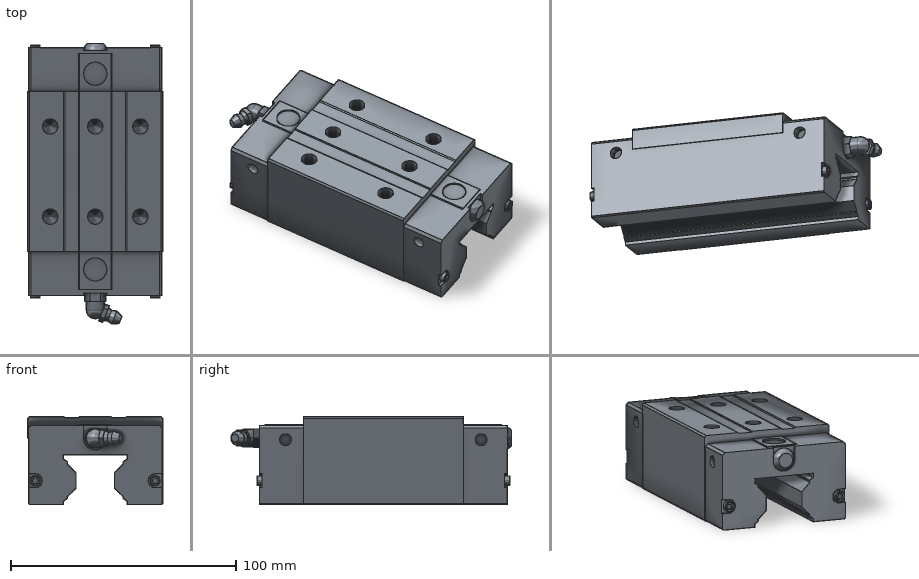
import cadquery as cq
import math


block_width = 60.0
block_height = 39.0
block_length = 71.0
carriage_length = 110.0
plate_thickness = 2.6
end_width = 59.2
end_height = 35.2

block_top_chamfer = 0.8
end_top_chamfer = 1.15
bottom_chamfer = 0.6
side_relief = (block_width - end_width) / 2
side_relief_height = 29.6

groove_outer_half = 14.0
groove_floor_half = 13.4
groove_depth = 0.4
band_half = 7.0
band_foot_half = 7.4
band_rise = 0.35

channel_half = 14.1
notch_half = 12.3
ledge_half = 12.5
throat_half = 8.5
channel_top = 22.1
roof_slope_z = 20.2
upper_notch_top_z = 19.0
upper_ledge_z = 18.2
throat_top_z = 14.1
throat_bottom_z = 7.2
lower_ledge_z = 3.4
lower_notch_bottom_z = 2.8
floor_slope_z = 1.4

mount_diameter = 6.8
mount_depth = 12.0
mount_pitch_x = 20.0
mount_pitch_y = 40.0
drill_point_angle = 118.0

port_y = 43.4
top_port_diameter = 10.3
top_port_depth = 0.7
side_port_diameter = 5.2
side_port_depth = 5.0
side_port_z = 28.8

screw_x = 26.6
screw_z = 10.6
screw_head_diameter = 4.4
screw_head_chamfer = 0.2
screw_head_rise = 1.1
socket_flats = 2.4
socket_depth = 1.2
screw_seat_radius = 3.1
seat_depth = 1.2

fitting_z = 29.5
fitting_seat_radius = 5.2

button_radius = 5.05
button_flat_radius = 3.3
button_rise = 1.9

elbow_hex_flats = 8.2
elbow_hex_rise = 2.65
elbow_hex_chamfer = 0.3
elbow_radius = 4.0
elbow_centre_rise = 6.3
nipple_angle = 22.0
collar_flats = 7.0
collar_start = 3.2
collar_end = 5.2
neck_end = 6.8
bulge_end = 9.05
tip_end = 12.1
neck_root_radius = 3.2
neck_radius = 2.5
bulge_radius = 3.15
tip_radius = 1.75

half_carriage = carriage_length / 2
half_caps = half_carriage - plate_thickness
seat_floor = half_carriage - seat_depth


def extrude_along_y(outline, y_min, y_max):
    """Prism with an XZ outline between two Y stations."""
    return (
        cq.Workplane("XZ", origin=(0, y_max, 0))
        .polyline(outline)
        .close()
        .extrude(y_max - y_min)
    )


def outward(end, distance):
    """Plane across the Y axis, its normal pointing out of the given end (-1 or +1)."""
    return cq.Workplane(cq.Plane((0, end * distance, 0), (-end, 0, 0), (0, end, 0)))


def make_block():
    half = block_width / 2
    relieved = -half + side_relief
    outline = [
        (relieved + bottom_chamfer, 0),
        (half - bottom_chamfer, 0),
        (half, bottom_chamfer),
        (half, block_height - block_top_chamfer),
        (half - block_top_chamfer, block_height),
        (-half + block_top_chamfer, block_height),
        (-half, block_height - block_top_chamfer),
        (-half, side_relief_height),
        (relieved, side_relief_height),
        (relieved, bottom_chamfer),
    ]
    block = extrude_along_y(outline, -block_length / 2, block_length / 2)
    for side in (-1, 1):
        block = block.cut(make_groove(side))
    return block


def make_groove(side):
    """Shallow groove in the block top with sloping walls."""
    floor = block_height - groove_depth
    outline = [
        (side * band_half, block_height),
        (side * band_foot_half, floor),
        (side * groove_floor_half, floor),
        (side * groove_outer_half, block_height),
    ]
    return extrude_along_y(outline, -block_length / 2, block_length / 2)


def make_ends():
    """End caps and end plates as one body running through the block."""
    half = end_width / 2
    outline = [
        (-half + bottom_chamfer, 0),
        (half - bottom_chamfer, 0),
        (half, bottom_chamfer),
        (half, end_height),
        (-half, end_height),
        (-half, bottom_chamfer),
    ]
    body = extrude_along_y(outline, -half_carriage, half_carriage)
    body = body.faces(">Z").edges("|Y").chamfer(end_top_chamfer)
    band_outline = [
        (-band_foot_half, end_height),
        (band_foot_half, end_height),
        (band_half, end_height + band_rise),
        (-band_half, end_height + band_rise),
    ]
    return body.union(extrude_along_y(band_outline, -half_caps, half_caps))


def make_channel():
    """Rail channel, mirrored about X = 0."""
    right_side = [
        (channel_half, 0),
        (channel_half, floor_slope_z),
        (notch_half, lower_notch_bottom_z),
        (notch_half, lower_ledge_z),
        (ledge_half, lower_ledge_z),
        (throat_half, throat_bottom_z),
        (throat_half, throat_top_z),
        (ledge_half, upper_ledge_z),
        (notch_half, upper_ledge_z),
        (notch_half, upper_notch_top_z),
        (channel_half, roof_slope_z),
        (channel_half, channel_top),
    ]
    left_side = [(-x, z) for x, z in reversed(right_side)]
    return extrude_along_y(right_side + left_side, -half_carriage, half_carriage)


def make_mount_hole():
    """Blind drilled hole with a conical bottom, opening at the block top on the Z axis."""
    radius = mount_diameter / 2
    point = radius / math.tan(math.radians(drill_point_angle / 2))
    shoulder = block_height - mount_depth
    return (
        cq.Workplane("XZ")
        .polyline([
            (0, block_height),
            (radius, block_height),
            (radius, shoulder),
            (0, shoulder - point),
        ])
        .close()
        .revolve(360, (0, 0, 0), (0, 1, 0))
    )


def cut_mount_holes(body):
    hole = make_mount_hole()
    for x in (-mount_pitch_x, 0, mount_pitch_x):
        for y in (-mount_pitch_y / 2, mount_pitch_y / 2):
            body = body.cut(hole.translate((x, y, 0)))
    return body


def cut_ports(body, end):
    """Top and side grease ports of one end cap."""
    top_port = (
        cq.Workplane("XY", origin=(0, end * port_y, end_height + band_rise))
        .circle(top_port_diameter / 2)
        .extrude(-top_port_depth)
    )
    body = body.cut(top_port)
    for side in (-1, 1):
        side_port = (
            cq.Workplane("YZ", origin=(side * end_width / 2, end * port_y, side_port_z))
            .circle(side_port_diameter / 2)
            .extrude(-side * side_port_depth)
        )
        body = body.cut(side_port)
    return body


def make_seat(end, radius, x, z, open_x, open_z):
    """Round-ended pocket in an end plate, running out at (open_x, open_z).

    The run is straight along X or Z and as wide as the round end.
    """
    round_end = outward(end, seat_floor).center(-end * x, z).circle(radius).extrude(seat_depth)
    y_middle = end * (seat_floor + seat_depth / 2)
    run_x = abs(open_x - x) or 2 * radius
    run_z = abs(open_z - z) or 2 * radius
    run = cq.Workplane("XY").box(run_x, seat_depth, run_z)
    run = run.translate(((x + open_x) / 2, y_middle, (z + open_z) / 2))
    return round_end.union(run)


def make_screw(end, side):
    """Socket head standing on the floor of its seat."""
    x = -end * side * screw_x
    head = (
        outward(end, seat_floor)
        .center(x, screw_z)
        .circle(screw_head_diameter / 2)
        .extrude(seat_depth + screw_head_rise)
        .faces(">Y" if end > 0 else "<Y")
        .chamfer(screw_head_chamfer)
    )
    socket_corners = socket_flats / math.cos(math.pi / 6)
    socket = (
        outward(end, half_carriage + screw_head_rise - socket_depth)
        .center(x, screw_z)
        .polygon(6, socket_corners)
        .extrude(socket_depth)
    )
    return head.cut(socket)


def add_screws(body, end):
    for side in (-1, 1):
        open_x = side * block_width / 2
        seat = make_seat(end, screw_seat_radius, side * screw_x, screw_z, open_x, screw_z)
        body = body.cut(seat).union(make_screw(end, side))
    return body


def make_button():
    """Domed plug with a flat top, its side starting square to the seat floor."""
    height = seat_depth + button_rise
    inset = button_radius - button_flat_radius
    arc_radius = (inset**2 + height**2) / (2 * inset)
    half_sweep = math.asin(height / arc_radius) / 2
    arc_middle = (
        button_radius - arc_radius * (1 - math.cos(half_sweep)),
        arc_radius * math.sin(half_sweep),
    )
    return (
        cq.Workplane("XY")
        .lineTo(button_radius, 0)
        .threePointArc(arc_middle, (button_flat_radius, height))
        .lineTo(0, height)
        .close()
        .revolve(360, (0, 0, 0), (0, 1, 0))
        .translate((0, seat_floor, fitting_z))
    )


def make_elbow():
    hex_corners = elbow_hex_flats / math.cos(math.pi / 6)
    hexagon = (
        outward(-1, seat_floor)
        .center(0, fitting_z)
        .polygon(6, hex_corners)
        .extrude(seat_depth + elbow_hex_rise)
    )
    hex_blank = (
        outward(-1, seat_floor)
        .center(0, fitting_z)
        .circle(hex_corners / 2)
        .extrude(seat_depth + elbow_hex_rise)
        .faces("<Y")
        .chamfer(elbow_hex_chamfer)
    )
    hexagon = hexagon.intersect(hex_blank)
    stem = (
        outward(-1, seat_floor)
        .center(0, fitting_z)
        .circle(elbow_radius)
        .extrude(seat_depth + elbow_centre_rise)
    )
    elbow_centre = (0, -half_carriage - elbow_centre_rise, fitting_z)
    ball = cq.Workplane("XY", origin=elbow_centre).sphere(elbow_radius)
    return hexagon.union(stem).union(ball).union(make_nipple_head(elbow_centre))


def make_nipple_head(elbow_centre):
    """Hexagonal collar and barbed tip, built along +X and then swung towards -Y."""
    collar_corners = collar_flats / math.cos(math.pi / 6)
    collar = (
        cq.Workplane("YZ", origin=(collar_start, 0, 0))
        .polygon(6, collar_corners)
        .extrude(collar_end - collar_start)
    )
    barb = (
        cq.Workplane("XY")
        .polyline([
            (collar_start, 0),
            (collar_start, neck_root_radius),
            (collar_end, neck_root_radius),
            (neck_end, neck_radius),
            (bulge_end, bulge_radius),
            (tip_end, tip_radius),
            (tip_end, 0),
        ])
        .close()
        .revolve(360, (0, 0, 0), (1, 0, 0))
    )
    head = collar.union(barb).rotate((0, 0, 0), (0, 0, 1), -nipple_angle)
    return head.translate(elbow_centre)


result = make_block().union(make_ends()).cut(make_channel())
result = cut_mount_holes(result)
for end in (-1, 1):
    result = cut_ports(result, end)
    result = result.cut(make_seat(end, fitting_seat_radius, 0, fitting_z, 0, end_height))
    result = add_screws(result, end)
result = result.union(make_button()).union(make_elbow())